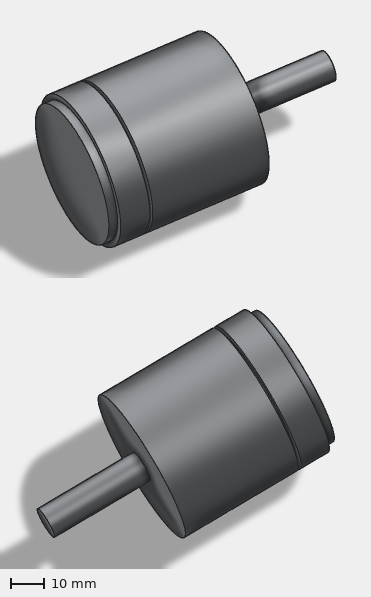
import cadquery as cq

total_length = 88.0
body_diameter = 50.0

lip_diameter = 46.0
lip_length = 3.0

band_length = 10.0
groove_diameter = 44.0
groove_width = 1.0
body_length = 40.0

shaft_diameter = 10.0
shaft_length = total_length - lip_length - band_length - groove_width - body_length

sections = [
    (lip_diameter, lip_length),
    (body_diameter, band_length),
    (groove_diameter, groove_width),
    (body_diameter, body_length),
    (shaft_diameter, shaft_length),
]


def stack_cylinders(sections):
    """Join coaxial cylinders end to end along +Y, centred on the origin."""
    part = cq.Workplane("XZ")
    start = -total_length / 2
    for diameter, length in sections:
        section = cq.Workplane("XZ", origin=(0, start, 0)).circle(diameter / 2).extrude(-length)
        part = part.add(section)
        start += length
    return part.combine()


result = stack_cylinders(sections)